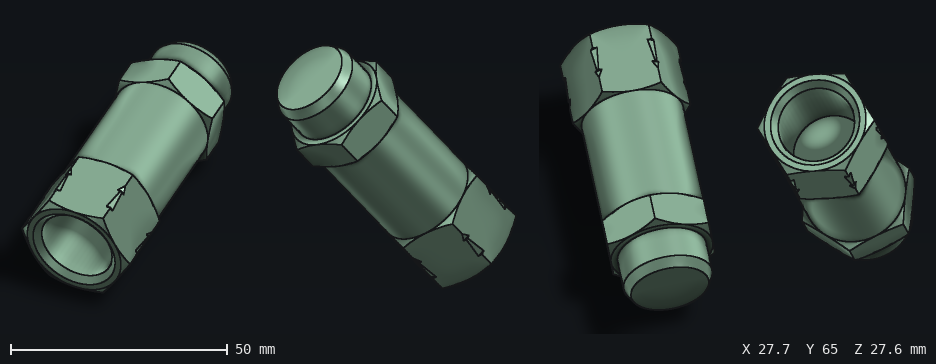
import cadquery as cq
import math

total_length = 65.0
socket_hex_end = 18.0
nut_start = 46.5
nut_end = 55.0

across_flats = 24.0
across_corners = across_flats / math.cos(math.radians(30))
nut_turn = 24.1
corner_bevel = 30.0

body_diameter = across_flats
spigot_diameter = 20.9
spigot_tip_diameter = 18.3
spigot_chamfer_length = 2.4

bore_diameter = 18.0
bore_mouth_diameter = 21.0
bore_depth = 19.5

arrow_tail = 5.0
arrow_head_base = 11.0
arrow_tip = 13.0
arrow_depth = 0.5
arrow_neck_depth = 0.1
cutter_width = 3.9
cutter_overlap = 0.65


def revolve_about_y(points):
    """Revolve a closed (radius, y) outline about the part's axis."""
    profile = cq.Workplane("XY").polyline(points).close()
    return profile.revolve(360, (0, 0, 0), (0, 1, 0))


def beveled_hexagon(start, end, turn):
    """Hexagonal prism along Y with its corners turned down conically at both ends."""
    corner_radius = across_corners / 2
    flat_radius = across_flats / 2
    bevel_length = (corner_radius - flat_radius) * math.tan(math.radians(corner_bevel))
    prism = (
        cq.Workplane("XZ", origin=(0, start, 0))
        .polygon(6, across_corners)
        .extrude(start - end)
        .rotate((0, 0, 0), (0, 1, 0), -turn)
    )
    envelope = revolve_about_y([
        (0, start),
        (flat_radius, start),
        (corner_radius, start + bevel_length),
        (corner_radius, end - bevel_length),
        (flat_radius, end),
        (0, end),
    ])
    return prism.intersect(envelope)


def body_and_spigot():
    """Round body followed by the narrower, chamfered spigot."""
    return revolve_about_y([
        (0, 0),
        (body_diameter / 2, 0),
        (body_diameter / 2, nut_end),
        (spigot_diameter / 2, nut_end),
        (spigot_diameter / 2, total_length - spigot_chamfer_length),
        (spigot_tip_diameter / 2, total_length),
        (0, total_length),
    ])


def blind_bore():
    """Flat-bottomed bore with a 45 degree countersunk mouth."""
    mouth_depth = (bore_mouth_diameter - bore_diameter) / 2
    return revolve_about_y([
        (0, 0),
        (bore_mouth_diameter / 2, 0),
        (bore_diameter / 2, mouth_depth),
        (bore_diameter / 2, bore_depth),
        (0, bore_depth),
    ])


def arrow_notch():
    """Two sloping flats across the +X corner: their varying width draws head and shaft."""
    corner = across_corners / 2
    outside = corner + cutter_overlap
    head = [
        (corner - arrow_depth, arrow_head_base),
        (corner, arrow_tip),
        (outside, arrow_tip),
        (outside, arrow_head_base),
    ]
    shaft = [
        (corner - arrow_depth, arrow_tail),
        (corner - arrow_neck_depth, arrow_head_base),
        (outside, arrow_head_base),
        (outside, arrow_tail),
    ]
    head_cut = cq.Workplane("XY").polyline(head).close().extrude(cutter_width / 2, both=True)
    shaft_cut = cq.Workplane("XY").polyline(shaft).close().extrude(cutter_width / 2, both=True)
    return head_cut.union(shaft_cut)


part = body_and_spigot()
part = part.union(beveled_hexagon(0, socket_hex_end, 0))
part = part.union(beveled_hexagon(nut_start, nut_end, nut_turn))
part = part.cut(blind_bore())
for corner_index in range(6):
    part = part.cut(arrow_notch().rotate((0, 0, 0), (0, 1, 0), 60 * corner_index))

result = part.translate((0, -total_length / 2, 0))